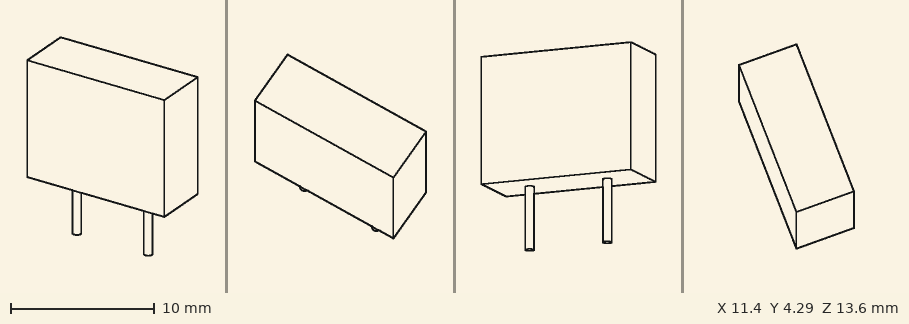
import cadquery as cq

total_height = 13.61
body_length = 11.4
body_width = 4.29

pin_diameter = 0.64
pin_length = 4.5
pin_pitch = 5.92

body_height = total_height - pin_length


def make_body():
    """Rectangular block standing on the plane Z = 0."""
    return cq.Workplane("XY").box(body_length, body_width, body_height, centered=(True, True, False))


def make_pin(x):
    """Round pin hanging from the underside of the body at the given X."""
    return cq.Workplane("XY").center(x, 0).circle(pin_diameter / 2).extrude(-pin_length)


body = make_body()
pins = [make_pin(side * pin_pitch / 2) for side in (-1, 1)]

result = cq.Compound.makeCompound([body.val(), *[pin.val() for pin in pins]])